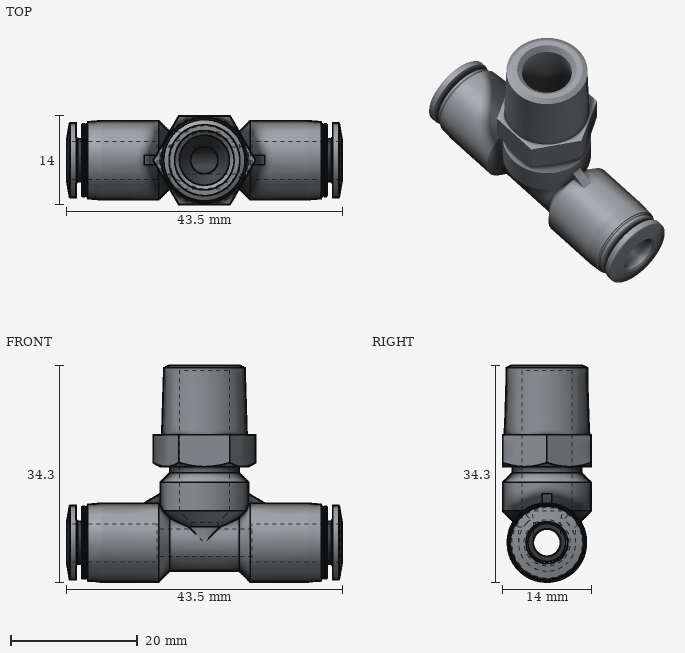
import cadquery as cq
import math

run_diameter = 9.0
run_half_length = 5.5
socket_diameter = 12.5
socket_taper_start = 16.3
socket_end = 18.45
socket_end_diameter = 12.14
branch_diameter = 14.0
branch_cone_top = 5.0
branch_shoulder = 9.5
neck_diameter = 11.0
neck_bottom = 11.0

seal_diameter = 11.5
seal_root_diameter = 11.2
seal_groove_start = 18.6
seal_groove_end = 18.98
seal_chamfer = 0.18
seal_end = 19.4
sleeve_diameter = 6.8
collar_diameter = 11.8
collar_back = 20.28
collar_root_chamfer = 0.25
collar_rim = 21.2
collar_rim_chamfer = 0.12
collar_face = 21.75

tube_diameter = 6.0
tube_mouth_diameter = 6.6
tube_mouth_depth = 0.3
tube_stop = 7.5
flow_diameter = 4.3

hex_across_flats = 14.0
hex_bottom = 12.0
hex_top = 17.0
hex_corner_angle = 30.0
hex_chamfer_angle = 30.0
thread_top = 28.0
thread_base_diameter = 13.5
thread_taper = 1 / 16
thread_chamfer_height = 0.4
thread_face_diameter = 11.2

bore_diameter = 7.89
bore_mouth_diameter = 9.4
bore_bottom = branch_cone_top

rib_width = 1.5
rib_outer_x = 9.5
rib_angle = 30.0
rib_embed = 0.5


def revolve_about_x(profile):
    """Revolve (x, radius) points about the X axis."""
    return cq.Workplane("XY").polyline(profile).close().revolve(360, (0, 0, 0), (1, 0, 0))


def revolve_about_z(profile):
    """Revolve (radius, z) points about the Z axis."""
    return cq.Workplane("XZ").polyline(profile).close().revolve(360, (0, 0, 0), (0, 1, 0))


def run_arm():
    """Half of the run tube with its socket and push-in cartridge, towards +X."""
    run_radius = run_diameter / 2
    socket_radius = socket_diameter / 2
    seal_radius = seal_diameter / 2
    seal_root = seal_root_diameter / 2
    sleeve_radius = sleeve_diameter / 2
    collar_radius = collar_diameter / 2
    socket_start = run_half_length + socket_radius - run_radius
    groove_flank = seal_radius - seal_root
    return revolve_about_x([
        (0, 0),
        (0, run_radius),
        (run_half_length, run_radius),
        (socket_start, socket_radius),
        (socket_taper_start, socket_radius),
        (socket_end, socket_end_diameter / 2),
        (socket_end, seal_radius),
        (seal_groove_start, seal_radius),
        (seal_groove_start + groove_flank, seal_root),
        (seal_groove_end - groove_flank, seal_root),
        (seal_groove_end, seal_radius),
        (seal_end - seal_chamfer, seal_radius),
        (seal_end, seal_radius - seal_chamfer),
        (seal_end, sleeve_radius),
        (collar_back - collar_root_chamfer, sleeve_radius),
        (collar_back, sleeve_radius + collar_root_chamfer),
        (collar_back, collar_radius),
        (collar_rim, collar_radius),
        (collar_rim + collar_rim_chamfer, collar_radius - collar_rim_chamfer),
        (collar_face, tube_mouth_diameter / 2),
        (collar_face, 0),
    ])


def arm_bore():
    """Tube socket of one arm, narrowing to the flow bore, towards +X."""
    tube_radius = tube_diameter / 2
    flow_radius = flow_diameter / 2
    return revolve_about_x([
        (0, 0),
        (0, flow_radius),
        (tube_stop, flow_radius),
        (tube_stop, tube_radius),
        (collar_face - tube_mouth_depth, tube_radius),
        (collar_face, tube_mouth_diameter / 2),
        (collar_face, 0),
    ])


def branch():
    """Round branch body, neck and tapered thread, revolved about Z."""
    run_radius = run_diameter / 2
    branch_radius = branch_diameter / 2
    neck_radius = neck_diameter / 2
    thread_base = thread_base_diameter / 2
    chamfer_start = thread_top - thread_chamfer_height
    thread_end = thread_base - (chamfer_start - hex_top) * thread_taper / 2
    return revolve_about_z([
        (0, 0),
        (run_radius, 0),
        (run_radius, branch_cone_top - branch_radius + run_radius),
        (branch_radius, branch_cone_top),
        (branch_radius, branch_shoulder),
        (neck_radius, neck_bottom),
        (neck_radius, hex_top),
        (thread_base, hex_top),
        (thread_end, chamfer_start),
        (thread_face_diameter / 2, thread_top),
        (0, thread_top),
    ])


def hexagon():
    """Hexagon with flats facing Y and its lower corners chamfered."""
    flat_radius = hex_across_flats / 2
    corner_radius = flat_radius / math.cos(math.radians(hex_corner_angle))
    chamfer_height = (corner_radius - flat_radius) * math.tan(math.radians(hex_chamfer_angle))
    prism = (
        cq.Workplane("XY", origin=(0, 0, hex_bottom))
        .polygon(6, 2 * corner_radius)
        .extrude(hex_top - hex_bottom)
    )
    envelope = revolve_about_z([
        (0, hex_bottom),
        (flat_radius, hex_bottom),
        (corner_radius, hex_bottom + chamfer_height),
        (corner_radius, hex_top),
        (0, hex_top),
    ])
    return prism.intersect(envelope)


def branch_bore():
    """Stepped bore from the thread face down to the run bore."""
    bore_radius = bore_diameter / 2
    mouth_radius = bore_mouth_diameter / 2
    flow_radius = flow_diameter / 2
    return revolve_about_z([
        (0, 0),
        (flow_radius, 0),
        (flow_radius, bore_bottom - bore_radius + flow_radius),
        (bore_radius, bore_bottom),
        (bore_radius, thread_top - mouth_radius + bore_radius),
        (mouth_radius, thread_top),
        (0, thread_top),
    ])


def ribs():
    """Sloping web on both sides of the branch, rooted inside the body."""
    socket_radius = socket_diameter / 2
    inner_x = branch_diameter / 2 - rib_embed
    root_z = socket_radius - rib_embed
    top_z = socket_radius + (rib_outer_x - inner_x) * math.tan(math.radians(rib_angle))
    right = (
        cq.Workplane("XZ")
        .polyline([
            (inner_x, root_z),
            (rib_outer_x, root_z),
            (rib_outer_x, socket_radius),
            (inner_x, top_z),
        ])
        .close()
        .extrude(rib_width / 2, both=True)
    )
    return right.union(right.mirror("YZ"))


def both_arms(arm):
    """Join an arm with its mirror image on the -X side."""
    return arm.union(arm.mirror("YZ"))


result = (
    both_arms(run_arm())
    .union(branch())
    .union(hexagon())
    .union(ribs())
    .cut(both_arms(arm_bore()))
    .cut(branch_bore())
)